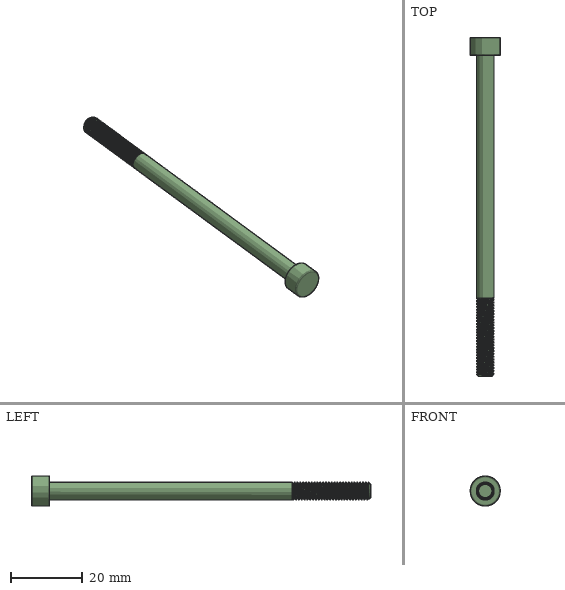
import cadquery as cq
import math

total_length = 95.0
head_diameter = 8.5
head_height = 5.0
head_edge_radius = 0.3
shank_diameter = 5.0
thread_length = 22.0
thread_pitch = 0.8
tip_chamfer = 0.7

head_radius = head_diameter / 2
shank_radius = shank_diameter / 2
tip_y = head_height - total_length
thread_start_y = tip_y + thread_length

sharp_height = thread_pitch * math.sqrt(3) / 2
thread_depth = sharp_height * 5 / 8
root_radius = shank_radius - thread_depth
crest_half_angle = math.pi / 8
root_half_angle = math.pi / 4
flank_steps = 4
thread_twist = 360 * thread_length / thread_pitch
cutter_clearance = 0.2


def revolved(profile):
    """Turn a (radius, y) profile, drawn in the YZ plane, about the Y axis."""
    points = [(y, radius) for radius, y in profile]
    return cq.Workplane("YZ").polyline(points).close().revolve(360, (0, 0), (1, 0))


def head():
    blank = revolved([
        (0, 0),
        (head_radius, 0),
        (head_radius, head_height),
        (0, head_height),
    ])
    return blank.faces("<Y or >Y").edges().fillet(head_edge_radius)


def shank():
    return revolved([
        (0, thread_start_y),
        (shank_radius, thread_start_y),
        (shank_radius, 0),
        (0, 0),
    ])


def polar(radius, angle):
    return (radius * math.cos(angle), radius * math.sin(angle))


def flank_points(start_radius, start_angle, end_radius, end_angle):
    """Points of an Archimedean spiral, the cross-section of a thread flank, after its start."""
    points = []
    for step in range(1, flank_steps + 1):
        share = step / flank_steps
        radius = start_radius + (end_radius - start_radius) * share
        angle = start_angle + (end_angle - start_angle) * share
        points.append(polar(radius, angle))
    return points


def thread_along_z():
    """Right-handed thread along Z: the cross-section normal to the axis, twisted as it rises."""
    root_start = math.pi - root_half_angle
    root_end = math.pi + root_half_angle
    crest_end = 2 * math.pi - crest_half_angle
    return (
        cq.Workplane("XY")
        .moveTo(*polar(shank_radius, -crest_half_angle))
        .threePointArc((shank_radius, 0), polar(shank_radius, crest_half_angle))
        .spline(flank_points(shank_radius, crest_half_angle, root_radius, root_start), includeCurrent=True)
        .threePointArc((-root_radius, 0), polar(root_radius, root_end))
        .spline(flank_points(root_radius, root_end, shank_radius, crest_end), includeCurrent=True)
        .close()
        .twistExtrude(thread_length, thread_twist)
    )


def threaded_end():
    """Thread laid along Y from the tip, with the tip chamfered by a ring-shaped cutter."""
    thread = thread_along_z().rotate((0, 0, 0), (1, 0, 0), -90).translate((0, tip_y, 0))
    ring_outer_radius = shank_radius + cutter_clearance
    chamfer_cutter = revolved([
        (shank_radius - tip_chamfer - cutter_clearance, tip_y - cutter_clearance),
        (ring_outer_radius, tip_y + tip_chamfer + cutter_clearance),
        (ring_outer_radius, tip_y - cutter_clearance),
    ])
    return thread.cut(chamfer_cutter)


result = head().union(shank()).union(threaded_end())